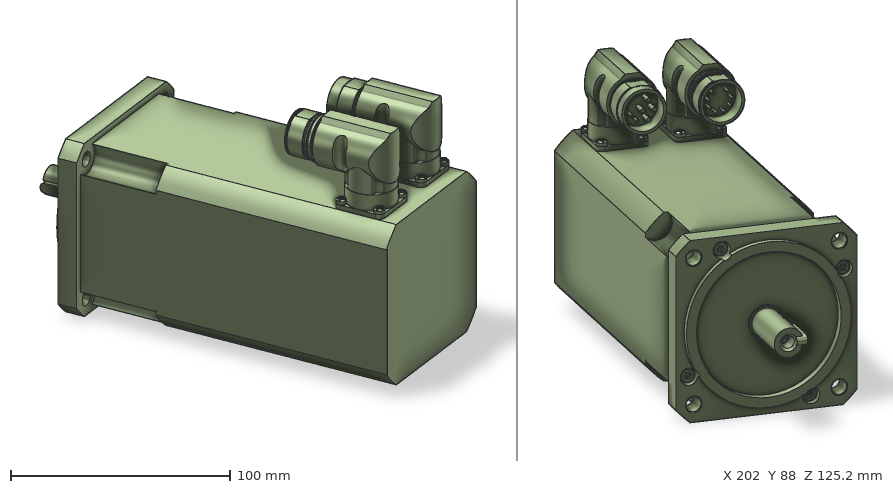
import cadquery as cq
import math


overlap = 2.0

total_length = 202.0
shaft_length = 26.9
pilot_height = 3.0
flange_thickness = 9.9
relief_end = 79.8
end_lip = 0.5
flange_front = shaft_length + pilot_height
flange_back = flange_front + flange_thickness
body_end = total_length - end_lip

flange_side = 88.0
flange_corner_radius = 57.5
body_side = 81.6
body_corner_radius = 51.7
body_top = body_side / 2
flat_half_width = math.sqrt(body_corner_radius**2 - body_top**2)
pilot_radius = 40.0
recess_radius = 35.1
recess_depth = 4.0
mount_pitch = 70.7
mount_hole_radius = 3.6
mount_hole_chamfer = 0.5
relief_radius = 7.7

flange_screw_circle = 43.5
flange_screw_angles = (60, 150, 240, 330)
counterbore_radius = 4.15
counterbore_depth = 6.0
screw_head_radius = 3.54
screw_head_sink = 1.6
screw_head_chamfer = 0.5
hex_socket_diameter = 3.6
hex_socket_depth = 1.6

shaft_radius = 7.0
seal_radius = 8.3
seal_height = 0.8
center_sink_radius = 4.2
thread_radius = 3.0
thread_depth = 8.0
drill_radius = 2.5
drill_depth = 10.0
drill_tip_length = 1.5
key_length = 19.8
key_width = 5.0
key_floor = 3.6
key_top = 9.0

connector_y = 19.0
plug_z = 67.7
stem_x = 181.0
base_side = 25.2
base_thickness = 2.5
base_corner_radius = 3.0
base_screw_offset = 9.9
base_screw_radius = 2.6
base_screw_height = 2.5
base_screw_chamfer = 0.8
cross_length = 4.0
cross_width = 0.8
cross_depth = 0.8
collar_radius = 12.3
collar_top = 51.3
stem_radius = 12.1
access_radius = 3.54
elbow_radius = 12.5
elbow_front = 157.2
elbow_end = stem_x + base_side / 2
elbow_end_radius = 15.0
elbow_groove_offset = 12.1
crest_top = 81.2
crest_height = crest_top - plug_z
crest_half_width = 3.6
crest_foot_half_width = 5.9
crest_foot_height = math.sqrt(elbow_radius**2 - crest_foot_half_width**2)

socket_front = 141.5
socket_floor = 149.5
socket_bore_radius = 9.5
rim_radius = 11.0
groove_radius = 10.3
pin_tip = socket_front + 1.6
power_pin_radius = 1.0
small_pin_radius = 0.5
signal_pin_circle = 5.75
signal_pin_places = 9
power_pins = [(0, 0), (-5.7, 0), (-2.8, 4.8), (-2.8, -4.8)]
control_pins = [(5.0, -2.0), (2.5, -4.8)]

signal_rings = [
    (socket_front, 142.0, rim_radius),
    (151.7, 152.7, rim_radius),
    (153.7, 155.1, 11.3),
    (156.0, elbow_front, rim_radius),
]
signal_flat_ring = (142.8, 150.7, 11.1)
signal_flat_height = 10.3
power_rings = [
    (socket_front, 146.9, rim_radius),
    (156.0, elbow_front, rim_radius),
]
power_flat_ring = (146.9, 155.0, 11.5)
power_flat_height = 10.5


def rod(x_start, x_end, radius, y=0.0, z=0.0):
    """Cylinder along X between two X positions."""
    plane = cq.Workplane("YZ", origin=(x_start, y, z))
    return plane.circle(radius).extrude(x_end - x_start)


def post(x, y, z_start, z_end, radius):
    """Cylinder along Z between two heights."""
    plane = cq.Workplane("XY", origin=(x, y, z_start))
    return plane.circle(radius).extrude(z_end - z_start)


def block(x_start, x_end, y_start, y_end, z_start, z_end):
    """Box given by its limits along each axis."""
    size = (x_end - x_start, y_end - y_start, z_end - z_start)
    return cq.Workplane("XY").box(*size, centered=False).translate((x_start, y_start, z_start))


def round_cornered_bar(x_start, x_end, side, corner_radius):
    """Square bar along X whose corners lie on a cylinder about the X axis."""
    bar = cq.Workplane("YZ", origin=(x_start, 0, 0)).rect(side, side).extrude(x_end - x_start)
    return bar.intersect(rod(x_start, x_end, corner_radius))


def make_housing():
    """Body and flange with pilot, mounting holes and corner reliefs."""
    housing = round_cornered_bar(flange_back, body_end, body_side, body_corner_radius)
    mount = mount_pitch / 2
    corners = [(y, z) for y in (-mount, mount) for z in (-mount, mount)]
    for y, z in corners:
        housing = housing.cut(rod(flange_back, relief_end, relief_radius, y, z))
    flange = round_cornered_bar(flange_front, flange_back, flange_side, flange_corner_radius)
    housing = housing.union(flange)
    for y, z in corners:
        hole = rod(flange_front, flange_back, mount_hole_radius, y, z)
        mouth = (
            cq.Workplane("YZ", origin=(flange_front, y, z))
            .circle(mount_hole_radius + mount_hole_chamfer)
            .extrude(mount_hole_chamfer, taper=45)
        )
        housing = housing.cut(hole).cut(mouth)
    housing = housing.union(rod(shaft_length, flange_front, pilot_radius))
    housing = housing.cut(rod(shaft_length, shaft_length + recess_depth, recess_radius))
    lip = block(
        body_end - overlap,
        total_length,
        -body_top,
        -body_top + end_lip,
        -flat_half_width,
        flat_half_width,
    )
    return housing.union(lip)


def add_flange_screws(motor):
    """Counterbored socket-head screws around the pilot."""
    head_face = flange_front + screw_head_sink
    seat = flange_front + counterbore_depth
    for angle in flange_screw_angles:
        y = flange_screw_circle * math.cos(math.radians(angle))
        z = flange_screw_circle * math.sin(math.radians(angle))
        motor = motor.cut(rod(shaft_length, seat, counterbore_radius, y, z))
        head = rod(head_face, seat, screw_head_radius, y, z).faces("<X").chamfer(screw_head_chamfer)
        socket = cq.Workplane("YZ", origin=(head_face, y, z)).polygon(6, hex_socket_diameter)
        motor = motor.union(head.cut(socket.extrude(hex_socket_depth)))
    return motor


def make_shaft():
    """Shaft with seal lip, countersunk centre hole and round-ended key."""
    recess_floor = shaft_length + recess_depth
    shaft = rod(0, recess_floor + overlap, shaft_radius)
    shaft = shaft.union(rod(recess_floor - seal_height, recess_floor + overlap, seal_radius))
    key = (
        cq.Workplane("XZ", origin=(key_length / 2, -key_floor, 0))
        .slot2D(key_length, key_width)
        .extrude(key_top - key_floor)
    )
    keyway = block(0, key_length / 2, -key_top, -key_floor, -key_width / 2, key_width / 2)
    shaft = shaft.cut(keyway).union(key)
    sink_depth = center_sink_radius - thread_radius
    center_hole = (
        cq.Workplane("XY")
        .moveTo(0, 0)
        .lineTo(0, center_sink_radius)
        .lineTo(sink_depth, thread_radius)
        .lineTo(thread_depth, thread_radius)
        .lineTo(thread_depth, drill_radius)
        .lineTo(drill_depth, drill_radius)
        .lineTo(drill_depth + drill_tip_length, 0)
        .close()
        .revolve(360, (0, 0, 0), (1, 0, 0))
    )
    return shaft.cut(center_hole)


def make_base_screw(x, y, z):
    """Cross-recessed screw head standing on the connector base."""
    head = post(x, y, z, z + base_screw_height, base_screw_radius).faces(">Z").chamfer(base_screw_chamfer)
    floor = cq.Workplane("XY", origin=(x, y, z + base_screw_height - cross_depth))
    cross = floor.rect(cross_length, cross_width).extrude(cross_depth)
    cross = cross.union(floor.rect(cross_width, cross_length).extrude(cross_depth))
    return head.cut(cross)


def make_elbow():
    """Crested barrel along X with a rounded end and two screw access grooves."""
    elbow = (
        cq.Workplane("YZ", origin=(elbow_front, 0, plug_z))
        .moveTo(-crest_foot_half_width, crest_foot_height)
        .lineTo(-crest_half_width, crest_height)
        .lineTo(crest_half_width, crest_height)
        .lineTo(crest_foot_half_width, crest_foot_height)
        .threePointArc((0, -elbow_radius), (-crest_foot_half_width, crest_foot_height))
        .close()
        .extrude(elbow_end - elbow_front)
    )
    z_low = plug_z - elbow_radius
    z_high = plug_z + crest_height
    end_center = elbow_end - elbow_end_radius
    end_shape = post(end_center, 0, z_low, z_high, elbow_end_radius)
    front_shape = block(elbow_front, end_center, -elbow_radius, elbow_radius, z_low, z_high)
    elbow = elbow.intersect(end_shape.union(front_shape))
    for y in (-elbow_groove_offset, elbow_groove_offset):
        elbow = elbow.cut(post(stem_x - base_screw_offset, y, z_low, z_high, access_radius))
    return elbow


def make_connector_body():
    """Base plate, screws, collar, fluted stem and elbow, centred on y = 0."""
    base_top = body_top + base_thickness
    base = cq.Workplane("XY", origin=(stem_x, 0, body_top)).rect(base_side, base_side)
    base = base.extrude(base_thickness).edges("|Z").fillet(base_corner_radius)
    stem = post(stem_x, 0, collar_top, plug_z, stem_radius)
    screws = [(stem_x + i * base_screw_offset, j * base_screw_offset) for i in (-1, 1) for j in (-1, 1)]
    for x, y in screws:
        stem = stem.cut(post(x, y, collar_top, plug_z, access_radius))
    body = base.union(post(stem_x, 0, base_top, collar_top, collar_radius)).union(stem)
    body = body.union(make_elbow())
    for x, y in screws:
        body = body.union(make_base_screw(x, y, base_top))
    return body


def make_socket(rings, flat_ring, flat_height):
    """Hollow stepped sleeve; one ring has a flat on top."""
    sleeve = rod(socket_front, elbow_front, groove_radius, 0, plug_z)
    for x_start, x_end, radius in rings:
        sleeve = sleeve.union(rod(x_start, x_end, radius, 0, plug_z))
    x_start, x_end, radius = flat_ring
    ring = rod(x_start, x_end, radius, 0, plug_z)
    flat_top = block(x_start, x_end, -radius, radius, plug_z - radius, plug_z + flat_height)
    sleeve = sleeve.union(ring.intersect(flat_top))
    return sleeve.cut(rod(socket_front, socket_floor, socket_bore_radius, 0, plug_z))


def add_pins(connector, pins, radius):
    """Contact pins standing on the socket floor at (y, z) from the plug axis."""
    for y, z in pins:
        connector = connector.union(rod(pin_tip, socket_floor + overlap, radius, y, plug_z + z))
    return connector


def make_signal_connector(body):
    """Connector with a ring of thin pins."""
    connector = body.union(make_socket(signal_rings, signal_flat_ring, signal_flat_height))
    angles = [math.pi / 2 + 2 * math.pi * place / signal_pin_places for place in range(1, signal_pin_places)]
    pins = [(signal_pin_circle * math.cos(a), signal_pin_circle * math.sin(a)) for a in angles]
    return add_pins(connector, pins, small_pin_radius)


def make_power_connector(body):
    """Connector with thick power pins and thin control pins."""
    connector = body.union(make_socket(power_rings, power_flat_ring, power_flat_height))
    connector = add_pins(connector, power_pins, power_pin_radius)
    return add_pins(connector, control_pins, small_pin_radius)


connector_body = make_connector_body()
motor = add_flange_screws(make_housing()).union(make_shaft())
motor = motor.union(make_signal_connector(connector_body).translate((0, -connector_y, 0)))
result = motor.union(make_power_connector(connector_body).translate((0, connector_y, 0)))